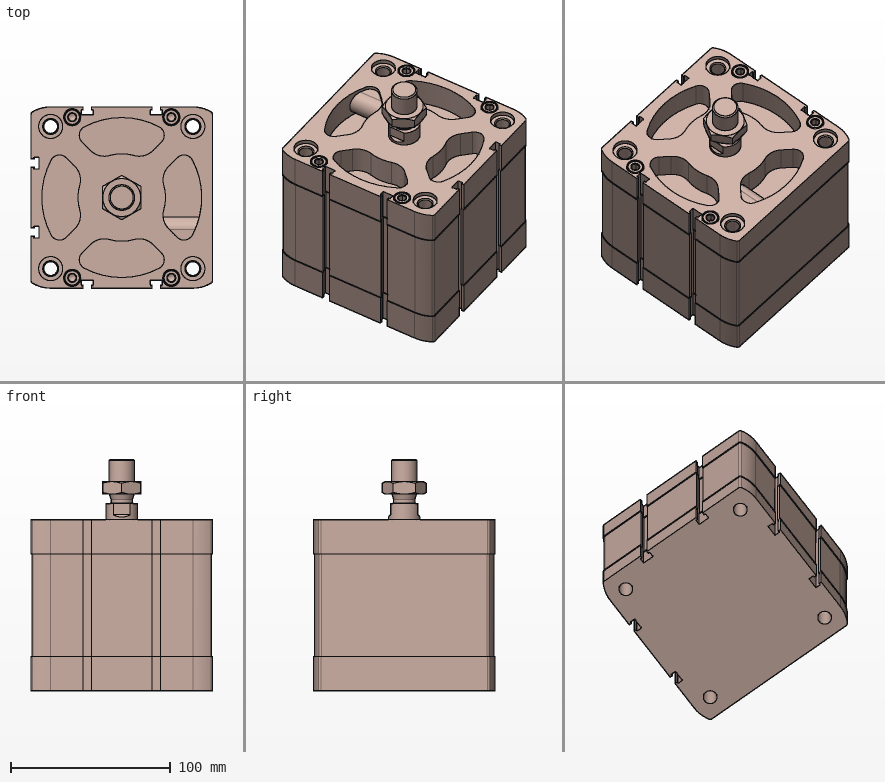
import cadquery as cq
import math

HOUSING_WIDTH = 113.5
TOTAL_HEIGHT = 144.8
ROD_EXPOSED = 37.8
HOUSING_HEIGHT = TOTAL_HEIGHT - ROD_EXPOSED
CAP_HEIGHT = 21.5
BARREL_INSET = 0.5
CORNER_RADIUS = 22.7
CORNER_TANGENT_X = 44.5
CORNER_EDGE_RADIUS = 1.7

SLOT_OFFSET = 21.6
SLOT_MOUTH = 5.0
SLOT_INNER_WIDTH = 7.2
SLOT_DEPTH = 4.9
SLOT_LIP = 1.6

MOUNT_OFFSET = 44.5
MOUNT_DIAMETER = 8.5
MOUNT_MOUTH_DIAMETER = 10.0
MOUNT_BORE_DIAMETER = 15.0
MOUNT_BORE_DEPTH = 2.8

SCREW_X = 31.0
SCREW_Y = 50.2
SCREW_SEAT_DIAMETER = 10.7
SCREW_HEAD_DIAMETER = 10.0
SCREW_TOP_DIAMETER = 9.0
SCREW_GAP_DEPTH = 1.5
SOCKET_MOUTH_DIAMETER = 5.6
SOCKET_FLATS = 4.6
SOCKET_DEPTH = 5.8
SOCKET_TIP_DEPTH = 0.7

POCKET_DEPTH = 18.2
POCKET_OUTER_RADIUS = 100.0 / 2
POCKET_INNER_RADIUS = 27.4
POCKET_LOBE_RADIUS = 12.0
POCKET_END_RADIUS = POCKET_LOBE_RADIUS / 2
RIB_THICKNESS = 13.9

BOSS_DIAMETER = 16.0
BOSS_AXIS_Y = -20.1

ROD_DIAMETER = 20.0
ROD_COLLAR_TOP = 117.1
ROD_FLATS = 17.0
FLAT_BOTTOM = 110.2
NECK_DIAMETER = 13.5
NECK_BASE_DIAMETER = 14.3
NECK_TOP = 119.6
THREAD_DIAMETER = 16.1
THREAD_START = 123.7
THREAD_TIP_DIAMETER = 14.3

NUT_FLATS = 24.0
NUT_BOTTOM = 123.0
NUT_HEIGHT = 8.0
NUT_FACE_DIAMETER = 23.7
NUT_CHAMFER_ANGLE = 30.0


def rounded_block(inset, bottom, height):
    """Square block whose corners sweep in along the Y faces and meet the X faces at a short edge round.

    The inset moves the whole outline inwards by an equal distance.
    """
    half = HOUSING_WIDTH / 2 - inset
    radius = CORNER_RADIUS - inset
    tangent_x = CORNER_TANGENT_X
    sweep = math.asin((half - tangent_x) / radius)
    mid_x = tangent_x + radius * math.sin(sweep / 2)
    mid_y = half - radius * (1 - math.cos(sweep / 2))
    shoulder_y = half - radius * (1 - math.cos(sweep))
    return (
        cq.Workplane("XY", origin=(0, 0, bottom))
        .moveTo(-tangent_x, half)
        .lineTo(tangent_x, half)
        .threePointArc((mid_x, mid_y), (half, shoulder_y))
        .lineTo(half, -shoulder_y)
        .threePointArc((mid_x, -mid_y), (tangent_x, -half))
        .lineTo(-tangent_x, -half)
        .threePointArc((-mid_x, -mid_y), (-half, -shoulder_y))
        .lineTo(-half, shoulder_y)
        .threePointArc((-mid_x, mid_y), (-tangent_x, half))
        .close()
        .extrude(height)
        .edges("|Z")
        .edges("<X or >X")
        .fillet(CORNER_EDGE_RADIUS)
    )


def t_slots(inset, bottom, height):
    """Pairs of T-slots in the -X, -Y and +Y faces of a block with the given inset."""
    slot_floor = HOUSING_WIDTH / 2 - inset - SLOT_DEPTH
    slots = cq.Workplane("XY")
    for offset in (-SLOT_OFFSET, SLOT_OFFSET):
        base = cq.Workplane("XY", origin=(offset, slot_floor, bottom))
        mouth = base.box(SLOT_MOUTH, SLOT_DEPTH, height, centered=(True, False, False))
        inner = base.box(SLOT_INNER_WIDTH, SLOT_DEPTH - SLOT_LIP, height, centered=(True, False, False))
        slot = mouth.union(inner)
        for face_angle in (0, 90, 180):
            slots = slots.add(slot.rotate((0, 0, 0), (0, 0, 1), face_angle))
    return slots.combine()


def slotted_block(inset, bottom, height):
    """One length of the housing with its T-slots."""
    return rounded_block(inset, bottom, height).cut(t_slots(inset, bottom, height))


def pocket():
    """Kidney-shaped pocket on the +X side, between an inner and an outer arc and two diagonal ribs."""
    apex = RIB_THICKNESS / math.sqrt(2)
    reach = HOUSING_WIDTH / 2
    floor = HOUSING_HEIGHT - POCKET_DEPTH
    wedge = (
        cq.Workplane("XY", origin=(0, 0, floor))
        .polyline([(apex, 0), (reach, reach - apex), (reach, apex - reach)])
        .close()
        .extrude(POCKET_DEPTH)
    )
    ring = (
        cq.Workplane("XY", origin=(0, 0, floor))
        .circle(POCKET_OUTER_RADIUS)
        .circle(POCKET_INNER_RADIUS)
        .extrude(POCKET_DEPTH)
    )
    sector = wedge.intersect(ring)
    middle = (POCKET_OUTER_RADIUS + POCKET_INNER_RADIUS) / 2 * math.cos(math.pi / 4)
    inner_corners = cq.selectors.BoxSelector((0, -reach, 0), (middle, reach, HOUSING_HEIGHT))
    sector = sector.edges("|Z").edges(inner_corners).fillet(POCKET_LOBE_RADIUS)
    outer_corners = sector.edges("|Z").edges(">Y or <Y")
    return outer_corners.fillet(POCKET_END_RADIUS)


def boss():
    """Raised floor in the -Y end of the +X pocket, ending in a half-round that rests on the pocket floor."""
    reach = HOUSING_WIDTH / 2
    floor = HOUSING_HEIGHT - POCKET_DEPTH
    radius = BOSS_DIAMETER / 2
    top = floor + BOSS_DIAMETER
    return (
        cq.Workplane("YZ")
        .moveTo(-reach, floor)
        .lineTo(BOSS_AXIS_Y, floor)
        .threePointArc((BOSS_AXIS_Y + radius, floor + radius), (BOSS_AXIS_Y, top))
        .lineTo(-reach, top)
        .close()
        .extrude(reach)
    )


def pockets():
    """Four pockets, one per side, with the boss left standing in the +X one."""
    plain = pocket()
    cut = plain.cut(boss())
    for angle in (90, 180, 270):
        cut = cut.add(plain.rotate((0, 0, 0), (0, 0, 1), angle))
    return cut.combine()


def frustum(bottom_diameter, top_diameter, bottom, top):
    """Cone frustum about the Z axis."""
    return cq.Workplane(
        cq.Solid.makeCone(bottom_diameter / 2, top_diameter / 2, top - bottom, pnt=cq.Vector(0, 0, bottom))
    )


def disc(diameter, bottom, top):
    """Cylinder about the Z axis."""
    return cq.Workplane("XY", origin=(0, 0, bottom)).circle(diameter / 2).extrude(top - bottom)


def hexagon(flats, bottom, top):
    """Hexagonal prism about the Z axis with corners on +Y and -Y."""
    return (
        cq.Workplane("XY", origin=(0, 0, bottom))
        .polygon(6, flats, circumscribed=True)
        .extrude(top - bottom)
    )


def at_corners(tool, x, y):
    """Copies of a cutting tool at the four points (+-x, +-y)."""
    copies = cq.Workplane("XY")
    for side_x in (-x, x):
        for side_y in (-y, y):
            copies = copies.add(tool.translate((side_x, side_y, 0)))
    return copies.combine()


def mounting_holes():
    """Through holes with a 45 degree mouth below a flat counterbore."""
    seat = HOUSING_HEIGHT - MOUNT_BORE_DEPTH
    mouth_depth = (MOUNT_MOUTH_DIAMETER - MOUNT_DIAMETER) / 2
    hole = (
        disc(MOUNT_DIAMETER, 0, seat)
        .union(frustum(MOUNT_DIAMETER, MOUNT_MOUTH_DIAMETER, seat - mouth_depth, seat))
        .union(disc(MOUNT_BORE_DIAMETER, seat, HOUSING_HEIGHT))
    )
    return at_corners(hole, MOUNT_OFFSET, MOUNT_OFFSET)


def screw_recesses():
    """Ring gap around each chamfered screw head, and its hexagonal socket with a conical bottom."""
    top = HOUSING_HEIGHT
    gap_floor = top - SCREW_GAP_DEPTH
    chamfer_start = top - (SCREW_HEAD_DIAMETER - SCREW_TOP_DIAMETER) / 2
    head = disc(SCREW_HEAD_DIAMETER, gap_floor, chamfer_start).union(
        frustum(SCREW_HEAD_DIAMETER, SCREW_TOP_DIAMETER, chamfer_start, top)
    )
    gap = disc(SCREW_SEAT_DIAMETER, gap_floor, top).cut(head)

    socket_floor = top - SOCKET_DEPTH
    mouth_depth = (SOCKET_MOUTH_DIAMETER - SOCKET_FLATS) / 2
    tip = frustum(0, SOCKET_FLATS, socket_floor - SOCKET_TIP_DEPTH, socket_floor)
    socket = (
        hexagon(SOCKET_FLATS, socket_floor, top)
        .rotate((0, 0, 0), (0, 0, 1), 90)
        .union(frustum(SOCKET_FLATS, SOCKET_MOUTH_DIAMETER, top - mouth_depth, top))
        .union(tip)
    )
    return at_corners(gap.add(socket).combine(), SCREW_X, SCREW_Y)


def make_housing():
    """Two equal end caps with a slightly slimmer barrel between them."""
    barrel_height = HOUSING_HEIGHT - 2 * CAP_HEIGHT
    top_cap_bottom = HOUSING_HEIGHT - CAP_HEIGHT
    return (
        slotted_block(0, 0, CAP_HEIGHT)
        .union(slotted_block(BARREL_INSET, CAP_HEIGHT, barrel_height))
        .union(slotted_block(0, top_cap_bottom, CAP_HEIGHT))
        .cut(pockets())
        .cut(mounting_holes())
        .cut(screw_recesses())
    )


def wrench_flats():
    """Material outside the two flats of the rod collar, with 45 degree run-outs at the bottom."""
    inner = ROD_FLATS / 2
    outer = ROD_DIAMETER / 2
    profile = [
        (inner, ROD_COLLAR_TOP),
        (inner, FLAT_BOTTOM),
        (outer, FLAT_BOTTOM - (outer - inner)),
        (outer, ROD_COLLAR_TOP),
    ]
    cutter = cq.Workplane("YZ").polyline(profile).close().extrude(outer, both=True)
    return cutter.union(cutter.mirror("XZ"))


def make_rod():
    """Collar with wrench flats, undercut neck with a flared base, and plain thread with a chamfered tip."""
    tip_chamfer = (THREAD_DIAMETER - THREAD_TIP_DIAMETER) / 2
    chamfer_start = TOTAL_HEIGHT - tip_chamfer
    neck_start = ROD_COLLAR_TOP + (NECK_BASE_DIAMETER - NECK_DIAMETER) / 2
    return (
        disc(ROD_DIAMETER, HOUSING_HEIGHT, ROD_COLLAR_TOP)
        .cut(wrench_flats())
        .union(frustum(NECK_BASE_DIAMETER, NECK_DIAMETER, ROD_COLLAR_TOP, neck_start))
        .union(disc(NECK_DIAMETER, neck_start, NECK_TOP))
        .union(frustum(NECK_DIAMETER, THREAD_DIAMETER, NECK_TOP, THREAD_START))
        .union(disc(THREAD_DIAMETER, THREAD_START, chamfer_start))
        .union(frustum(THREAD_DIAMETER, THREAD_TIP_DIAMETER, chamfer_start, TOTAL_HEIGHT))
    )


def make_nut():
    """Hexagon nut with corners on +Y and -Y, chamfered on both faces, bored to the thread diameter."""
    top = NUT_BOTTOM + NUT_HEIGHT
    corner_diameter = NUT_FLATS / math.cos(math.pi / 6)
    chamfer = (corner_diameter - NUT_FACE_DIAMETER) / 2 * math.tan(math.radians(NUT_CHAMFER_ANGLE))
    envelope = (
        frustum(NUT_FACE_DIAMETER, corner_diameter, NUT_BOTTOM, NUT_BOTTOM + chamfer)
        .union(disc(corner_diameter, NUT_BOTTOM + chamfer, top - chamfer))
        .union(frustum(corner_diameter, NUT_FACE_DIAMETER, top - chamfer, top))
    )
    return (
        hexagon(NUT_FLATS, NUT_BOTTOM, top)
        .intersect(envelope)
        .cut(disc(THREAD_DIAMETER, NUT_BOTTOM, top))
    )


housing = make_housing()
rod = make_rod()
nut = make_nut()

result = cq.Compound.makeCompound([housing.val(), rod.val(), nut.val()])